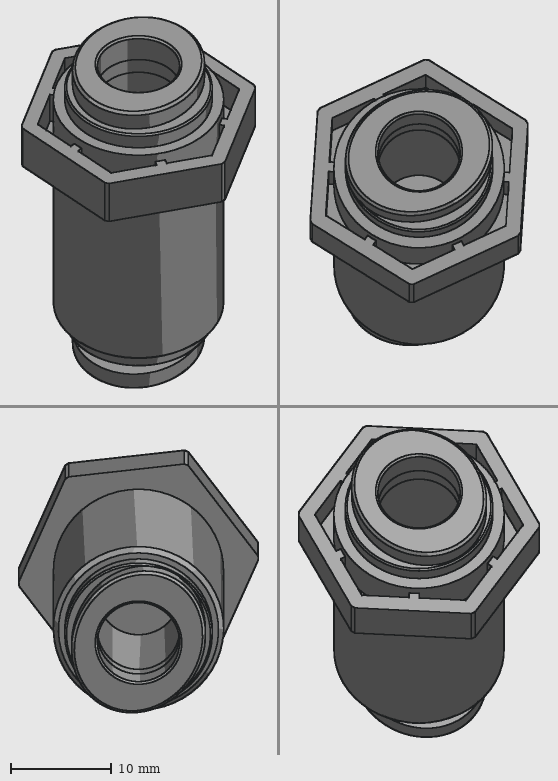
import cadquery as cq
import math


TOTAL_HEIGHT = 36.6
COLLAR_HEIGHT = 2.95
OVAL_HEIGHT = 2.1
RING_HEIGHT = 1.7
HOUSING_BOTTOM = COLLAR_HEIGHT + RING_HEIGHT
HOUSING_TOP = TOTAL_HEIGHT - HOUSING_BOTTOM
HOUSING_HEIGHT = HOUSING_TOP - HOUSING_BOTTOM

BORE_DIAMETER = 8.2
BORE_CHAMFER = 0.22
PARTITION_THICKNESS = 2.2

NECK_DIAMETER = 9.6
OVAL_WIDTH_X = 13.03
OVAL_WIDTH_Y = 15.0
OVAL_CHAMFER = 0.3

RING_DIAMETER = 14.7
RING_CHAMFER = 0.2

BARREL_DIAMETER = 17.0
BARREL_CHAMFER = 0.5

HEX_SIDES = 6
HEX_FLATS = 21.0
HEX_CORNER_DIAMETER = 24.0
HEX_HEIGHT = 5.0
HEX_SETBACK = 1.0
HEX_TOP = HOUSING_TOP - HEX_SETBACK
HEX_BOTTOM = HEX_TOP - HEX_HEIGHT
HEX_WALL = 1.5
POCKET_FLATS = HEX_FLATS - 2 * HEX_WALL
POCKET_DEPTH = HEX_HEIGHT - HEX_WALL
RIB_THICKNESS = 1.02


def cylinder(diameter, height, bottom=0.0):
    return cq.Workplane("XY").workplane(offset=bottom).circle(diameter / 2).extrude(height)


def hexagon(flats, height, bottom):
    """Hexagonal prism with two flats facing +X and -X."""
    corner_diameter = flats / math.cos(math.pi / HEX_SIDES)
    prism = cq.Workplane("XY").polygon(HEX_SIDES, corner_diameter).extrude(height)
    return prism.rotate((0, 0, 0), (0, 0, 1), 180 / HEX_SIDES).translate((0, 0, bottom))


def make_head():
    """Hexagon with trimmed corners, a pocket open to the top and a rib behind each flat."""
    corner_trim = cylinder(HEX_CORNER_DIAMETER, HEX_HEIGHT, HEX_BOTTOM)
    head = hexagon(HEX_FLATS, HEX_HEIGHT, HEX_BOTTOM).intersect(corner_trim)
    pocket_floor = HEX_TOP - POCKET_DEPTH
    pocket = hexagon(POCKET_FLATS, POCKET_DEPTH, pocket_floor)
    for pair in range(HEX_SIDES // 2):
        rib_pair = (
            cq.Workplane("XY")
            .workplane(offset=pocket_floor)
            .rect(HEX_FLATS, RIB_THICKNESS)
            .extrude(POCKET_DEPTH)
            .rotate((0, 0, 0), (0, 0, 1), pair * 360 / HEX_SIDES)
        )
        pocket = pocket.cut(rib_pair)
    return head.cut(pocket)


def make_housing():
    """Barrel with the hexagon head and a blind bore from each end."""
    barrel = cylinder(BARREL_DIAMETER, HOUSING_HEIGHT, HOUSING_BOTTOM).faces("<Z").chamfer(BARREL_CHAMFER)
    bore_depth = (HOUSING_HEIGHT - PARTITION_THICKNESS) / 2
    lower_bore = cylinder(BORE_DIAMETER, bore_depth, HOUSING_BOTTOM)
    upper_bore = cylinder(BORE_DIAMETER, bore_depth, HOUSING_TOP - bore_depth)
    return barrel.union(make_head()).cut(lower_bore).cut(upper_bore)


def make_ring():
    """Upper retaining ring, seated on the housing."""
    ring = cylinder(RING_DIAMETER, RING_HEIGHT, HOUSING_TOP).faces(">Z").chamfer(RING_CHAMFER)
    return ring.cut(cylinder(BORE_DIAMETER, RING_HEIGHT, HOUSING_TOP))


def make_collar():
    """Upper release collar: a round neck on the ring below an oval push flange."""
    neck_bottom = TOTAL_HEIGHT - COLLAR_HEIGHT
    neck = cylinder(NECK_DIAMETER, COLLAR_HEIGHT, neck_bottom)
    flange = (
        cq.Workplane("XY")
        .workplane(offset=TOTAL_HEIGHT - OVAL_HEIGHT)
        .ellipse(OVAL_WIDTH_X / 2, OVAL_WIDTH_Y / 2)
        .extrude(OVAL_HEIGHT)
        .faces(">Z")
        .chamfer(OVAL_CHAMFER)
    )
    bore = cylinder(BORE_DIAMETER, COLLAR_HEIGHT, neck_bottom)
    collar = neck.union(flange).cut(bore)
    bore_mouth = cq.selectors.RadiusNthSelector(0)
    return collar.faces(">Z").edges(bore_mouth).chamfer(BORE_CHAMFER)


def both_ends(upper):
    """The upper body and its copy turned over about X onto the lower end."""
    middle = TOTAL_HEIGHT / 2
    solids = []
    for turn in (0, 180):
        solids.append(upper.rotate((0, 0, middle), (1, 0, middle), turn).val())
    return solids


housing = make_housing()
rings = both_ends(make_ring())
collars = both_ends(make_collar())

result = cq.Compound.makeCompound([housing.val(), *rings, *collars])